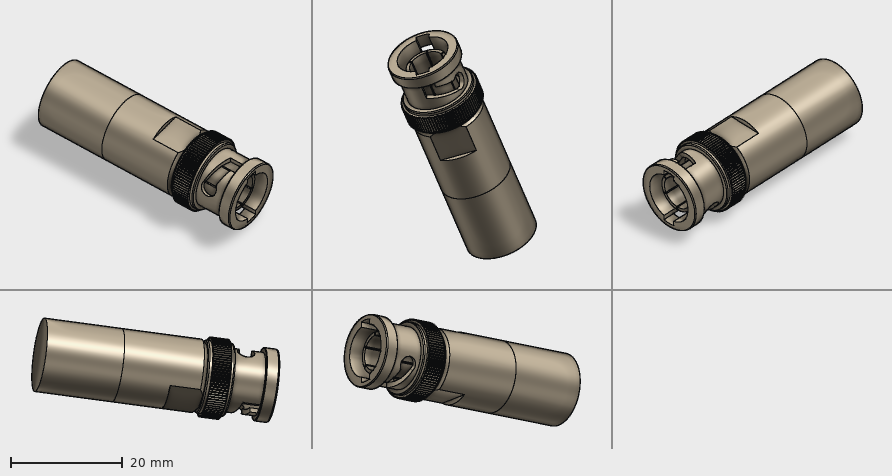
import cadquery as cq
import math

TOTAL_LENGTH = 42.6

BODY_RADIUS = 6.65
HOUSING_LENGTH = 14.15
FLAT_START = 23.2
FLAT_OFFSET = 5.7
SHOULDER_X = 29.52
SHOULDER_CHAMFER_LENGTH = 0.75
SHOULDER_CHAMFER_HEIGHT = 0.7

BARREL_RADIUS = 3.855
BARREL_WALL = 0.65
BARREL_FRONT_GAP = 2.15
SLIT_WIDTH = 0.25
SLIT_COUNT = 6

COLLAR_LENGTH = 0.75
COLLAR_CHAMFER = 0.25
KNURL_LENGTH = 3.4
KNURL_RADIUS = 7.25
KNURL_DEPTH = 0.2
TOOTH_COUNT = 90
SLEEVE_RADIUS = 5.75
SLEEVE_BORE_RADIUS = 4.8
RIM_LENGTH = 2.43
RIM_CHAMFER_LENGTH = 0.25
EDGE_BREAK = 0.13

SLOT_WIDTH = 2.43
LATCH_RADIUS = 1.58
LATCH_X = 36.75
LATCH_ANGLE = 60.0
SLOT_TWIST = 39.44
SLOT_COUNT = 2
RAMP_CLEARANCE = 0.43

KNURL_START = SHOULDER_X + COLLAR_LENGTH
KNURL_END = KNURL_START + KNURL_LENGTH
COLLAR_END = KNURL_END + COLLAR_LENGTH
RIM_START = TOTAL_LENGTH - RIM_LENGTH


def revolve_about_x(profile):
    """Turn a list of (x, radius) points about the X axis."""
    return cq.Workplane("XY").polyline(profile).close().revolve(360, (0, 0, 0), (1, 0, 0))


def angled_point(radius, angle):
    """(y, z) of a point at an angle measured from +Z towards -Y."""
    return -radius * math.sin(math.radians(angle)), radius * math.cos(math.radians(angle))


def ring_sector(start_x, clearance, first_angle, last_angle):
    """Outline of a piece of the sleeve wall, wider than the wall by a clearance on each side."""
    inner = SLEEVE_BORE_RADIUS - clearance
    outer = SLEEVE_RADIUS + clearance
    middle_angle = (first_angle + last_angle) / 2
    return (
        cq.Workplane("YZ", origin=(start_x, 0, 0))
        .moveTo(*angled_point(inner, first_angle))
        .lineTo(*angled_point(outer, first_angle))
        .threePointArc(angled_point(outer, middle_angle), angled_point(outer, last_angle))
        .lineTo(*angled_point(inner, last_angle))
        .threePointArc(angled_point(inner, middle_angle), angled_point(inner, first_angle))
        .close()
    )


def make_rear_housing():
    return cq.Workplane("YZ").circle(BODY_RADIUS).extrude(HOUSING_LENGTH)


def make_plug_body():
    barrel_tip = TOTAL_LENGTH - BARREL_FRONT_GAP
    body = revolve_about_x([
        (HOUSING_LENGTH, 0),
        (HOUSING_LENGTH, BODY_RADIUS),
        (SHOULDER_X - SHOULDER_CHAMFER_LENGTH, BODY_RADIUS),
        (SHOULDER_X, BODY_RADIUS - SHOULDER_CHAMFER_HEIGHT),
        (SHOULDER_X, SLEEVE_BORE_RADIUS),
        (KNURL_END, SLEEVE_BORE_RADIUS),
        (KNURL_END, BARREL_RADIUS),
        (barrel_tip, BARREL_RADIUS),
        (barrel_tip, BARREL_RADIUS - BARREL_WALL),
        (KNURL_END, BARREL_RADIUS - BARREL_WALL),
        (KNURL_END, 0),
    ])

    flat_length = SHOULDER_X - FLAT_START
    flat_depth = BODY_RADIUS - FLAT_OFFSET
    for side in (1, -1):
        flat_middle = side * (FLAT_OFFSET + flat_depth / 2)
        body = body.cut(
            cq.Workplane("XY")
            .box(flat_length, 2 * BODY_RADIUS, flat_depth)
            .translate((FLAT_START + flat_length / 2, 0, flat_middle))
        )

    slit_length = barrel_tip - KNURL_END
    slit = (
        cq.Workplane("XY")
        .box(slit_length, SLIT_WIDTH, BODY_RADIUS)
        .translate((KNURL_END + slit_length / 2, 0, BODY_RADIUS / 2))
    )
    for index in range(SLIT_COUNT):
        body = body.cut(slit.rotate((0, 0, 0), (1, 0, 0), index * 360 / SLIT_COUNT))
    return body


def make_knurl():
    """Disc with V grooves between narrow flat-topped teeth and a bevelled front edge."""
    pitch = 360 / TOOTH_COUNT
    root_radius = KNURL_RADIUS - KNURL_DEPTH
    corners = []
    for index in range(TOOTH_COUNT):
        crest = index * pitch
        corners += [
            angled_point(KNURL_RADIUS, crest - pitch / 8),
            angled_point(KNURL_RADIUS, crest + pitch / 8),
            angled_point(root_radius, crest + pitch / 2),
        ]
    teeth = cq.Workplane("YZ", origin=(KNURL_START, 0, 0)).polyline(corners).close().extrude(KNURL_LENGTH)
    envelope = revolve_about_x([
        (KNURL_START, 0),
        (KNURL_START, KNURL_RADIUS),
        (KNURL_END - EDGE_BREAK, KNURL_RADIUS),
        (KNURL_END, KNURL_RADIUS - EDGE_BREAK),
        (KNURL_END, 0),
    ])
    return teeth.intersect(envelope)


def make_bayonet_slot():
    """Cutters for the helical ramp, entry channel and round latch hole."""
    half_width = SLOT_WIDTH / 2
    ramp_start = LATCH_X - LATCH_RADIUS
    entry_angle = -math.degrees(math.asin(half_width / SLEEVE_RADIUS))
    channel_start = ramp_start + (LATCH_ANGLE - entry_angle) / SLOT_TWIST
    ramp_length = channel_start + SLOT_WIDTH - ramp_start

    sector_angle = SLOT_WIDTH * SLOT_TWIST
    ramp = ring_sector(
        ramp_start, RAMP_CLEARANCE, LATCH_ANGLE, LATCH_ANGLE + sector_angle
    ).twistExtrude(ramp_length, -SLOT_TWIST * ramp_length)
    ramp_limits = ring_sector(ramp_start, 2 * RAMP_CLEARANCE, entry_angle, LATCH_ANGLE).extrude(ramp_length)
    ramp = ramp.intersect(ramp_limits)

    channel_length = TOTAL_LENGTH - channel_start
    sleeve_outside = cq.Workplane("YZ").circle(SLEEVE_RADIUS).extrude(TOTAL_LENGTH)
    channel = (
        cq.Workplane("XY")
        .box(channel_length, SLOT_WIDTH, SLEEVE_RADIUS)
        .translate((channel_start + channel_length / 2, 0, SLEEVE_RADIUS / 2))
        .intersect(sleeve_outside)
    )

    latch = (
        cq.Workplane("XY", origin=(LATCH_X, 0, 0))
        .circle(LATCH_RADIUS)
        .extrude(KNURL_RADIUS)
        .rotate((0, 0, 0), (1, 0, 0), LATCH_ANGLE)
    )
    return ramp, channel, latch


def make_coupling_nut():
    nut = revolve_about_x([
        (SHOULDER_X, SLEEVE_BORE_RADIUS),
        (SHOULDER_X, BODY_RADIUS - EDGE_BREAK),
        (SHOULDER_X + COLLAR_CHAMFER, BODY_RADIUS),
        (COLLAR_END - COLLAR_CHAMFER, BODY_RADIUS),
        (COLLAR_END, BODY_RADIUS - EDGE_BREAK),
        (COLLAR_END, SLEEVE_RADIUS),
        (RIM_START, SLEEVE_RADIUS),
        (RIM_START, BODY_RADIUS - EDGE_BREAK),
        (RIM_START + EDGE_BREAK, BODY_RADIUS),
        (TOTAL_LENGTH - RIM_CHAMFER_LENGTH, BODY_RADIUS),
        (TOTAL_LENGTH, BODY_RADIUS - EDGE_BREAK),
        (TOTAL_LENGTH, SLEEVE_BORE_RADIUS),
    ])
    bore = cq.Workplane("YZ").circle(SLEEVE_BORE_RADIUS).extrude(TOTAL_LENGTH)
    nut = nut.union(make_knurl().cut(bore))

    cutters = make_bayonet_slot()
    for index in range(SLOT_COUNT):
        for cutter in cutters:
            nut = nut.cut(cutter.rotate((0, 0, 0), (1, 0, 0), index * 360 / SLOT_COUNT))
    return nut


rear_housing = make_rear_housing()
plug_body = make_plug_body()
coupling_nut = make_coupling_nut()

result = cq.Compound.makeCompound([rear_housing.val(), plug_body.val(), coupling_nut.val()])